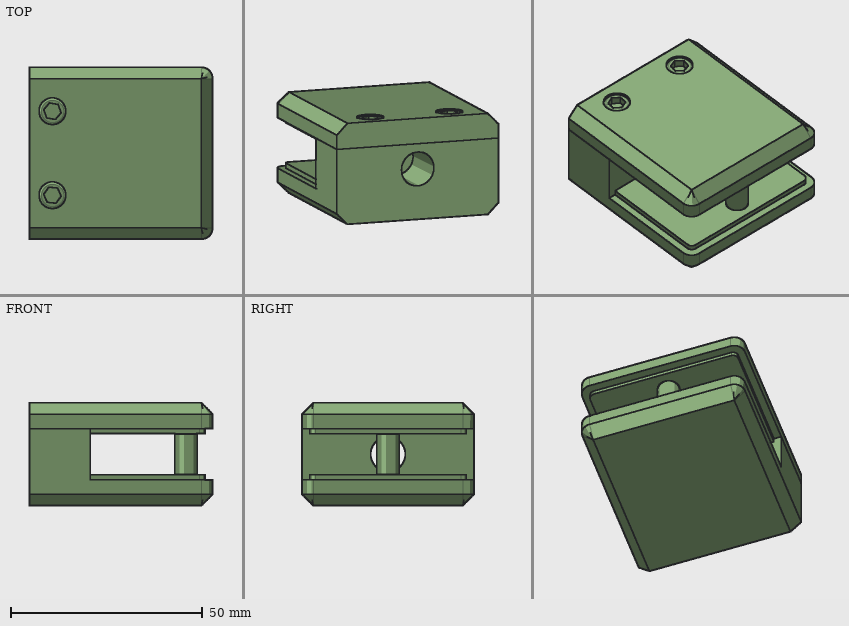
import cadquery as cq

LENGTH = 48.0
WIDTH = 45.0
HEIGHT = 27.0
EDGE = 3.0

SLOT_START = 16.0
SLOT_HEIGHT = 13.45
SLOT_TOP = SLOT_HEIGHT / 2

PASSAGE_DIAMETER = 9.0

PAD_END = 46.0
PAD_INSET = 2.0
PAD_THICKNESS = 1.35
PAD_CORNER_RADIUS = 1.5

PIN_X = 41.0
PIN_DIAMETER = 5.95
PIN_BEVEL = 0.2

SCREW_X = 6.05
SCREW_SPACING = 22.0
SCREW_DIAMETER = 7.0
SCREW_LENGTH = 12.0
SCREW_ROUNDING = 0.6
SCREW_RECESS = 0.25
SOCKET_ACROSS_CORNERS = 4.6
SOCKET_DEPTH = 2.0
SOCKET_ANGLES = {-1: -6.0, 1: -10.0}

SCREW_TOP = HEIGHT / 2 - SCREW_RECESS


def make_envelope():
    """Solid outer shape: bevelled along three sides, with conical corners at the mouth."""
    straight_length = LENGTH - EDGE
    straight_width = WIDTH - 2 * EDGE
    body = cq.Workplane("YZ").rect(WIDTH, HEIGHT).extrude(straight_length).edges("|X").chamfer(EDGE)
    nose = (
        cq.Workplane("XY")
        .box(LENGTH, straight_width, HEIGHT, centered=(False, True, True))
        .edges(">X and |Y")
        .chamfer(EDGE)
    )
    corner = (
        cq.Workplane("XZ")
        .polyline([
            (0, -HEIGHT / 2),
            (EDGE, -HEIGHT / 2 + EDGE),
            (EDGE, HEIGHT / 2 - EDGE),
            (0, HEIGHT / 2),
        ])
        .close()
        .revolve(360, (0, 0), (0, 1))
    )
    envelope = body.union(nose)
    for side in (-1, 1):
        envelope = envelope.union(corner.translate((straight_length, side * straight_width / 2, 0)))
    return envelope


def make_cover_space():
    """Block of space above the joint, which lies level with the top of the slot."""
    return cq.Workplane("XY", origin=(0, 0, SLOT_TOP)).box(
        LENGTH, WIDTH, HEIGHT, centered=(False, True, False)
    )


def make_screw_blank(side):
    """Plain cylinder filling a screw hole from its bottom to the top of the cover."""
    return (
        cq.Workplane("XY", origin=(SCREW_X, side * SCREW_SPACING / 2, SCREW_TOP - SCREW_LENGTH))
        .circle(SCREW_DIAMETER / 2)
        .extrude(SCREW_LENGTH + SCREW_RECESS)
    )


def make_upper_pad():
    """Pad on the upper face of the slot, rounded at the mouth."""
    return (
        cq.Workplane("XY", origin=(SLOT_START, 0, SLOT_TOP - PAD_THICKNESS))
        .box(PAD_END - SLOT_START, WIDTH - 2 * PAD_INSET, PAD_THICKNESS, centered=(False, True, False))
        .edges("|Z and >X")
        .fillet(PAD_CORNER_RADIUS)
    )


def make_base():
    """Lower jaw with its pad, and the back block pierced by the round passage."""
    slot = cq.Workplane("XY", origin=(SLOT_START, 0, 0)).box(
        LENGTH, WIDTH, SLOT_HEIGHT, centered=(False, True, True)
    )
    passage = cq.Workplane("YZ").circle(PASSAGE_DIAMETER / 2).extrude(SLOT_START)
    base = make_envelope().cut(make_cover_space()).cut(slot).cut(passage)
    base = base.union(make_upper_pad().mirror("XY"))
    for side in SOCKET_ANGLES:
        base = base.cut(make_screw_blank(side))
    return base


def make_cover():
    """Upper jaw with its pad: the part of the clamp above the joint at the top of the slot."""
    cover = make_envelope().intersect(make_cover_space()).union(make_upper_pad())
    for side in SOCKET_ANGLES:
        cover = cover.cut(make_screw_blank(side))
    return cover


def make_pin():
    """Upright round pin with bevelled ends, reaching from pad to pad."""
    return (
        cq.Workplane("XY", origin=(PIN_X, 0, 0))
        .cylinder(SLOT_HEIGHT - 2 * PAD_THICKNESS, PIN_DIAMETER / 2)
        .edges("%CIRCLE")
        .chamfer(PIN_BEVEL)
    )


def make_screw(side, socket_angle):
    """Round-edged screw with a hexagon socket in its top."""
    screw = (
        cq.Workplane("XY")
        .circle(SCREW_DIAMETER / 2)
        .extrude(-SCREW_LENGTH)
        .faces(">Z")
        .edges()
        .fillet(SCREW_ROUNDING)
    )
    socket = cq.Workplane("XY").polygon(6, SOCKET_ACROSS_CORNERS).extrude(-SOCKET_DEPTH)
    screw = screw.cut(socket.rotate((0, 0, 0), (0, 0, 1), socket_angle))
    return screw.translate((SCREW_X, side * SCREW_SPACING / 2, SCREW_TOP))


base = make_base()
cover = make_cover()
pin = make_pin()
screws = [make_screw(side, angle) for side, angle in SOCKET_ANGLES.items()]

result = cq.Compound.makeCompound(
    [base.val(), cover.val(), pin.val(), *[screw.val() for screw in screws]]
)